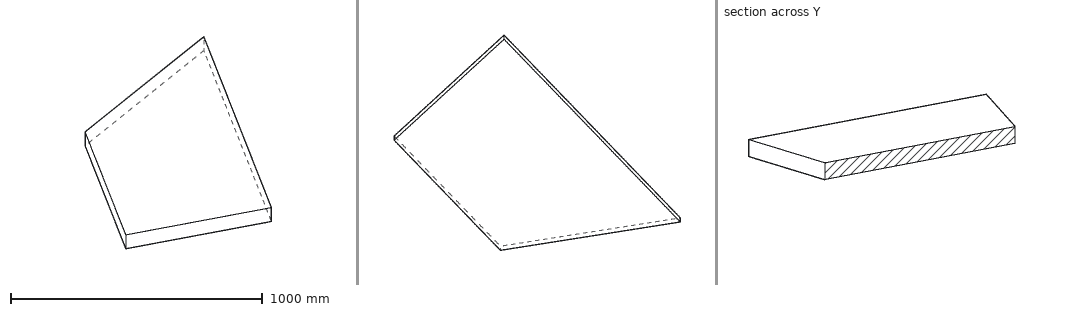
import cadquery as cq

long_edge = 1022.0
short_edge = 616.0
depth = 600.0
thickness = 77.0

slant_run = long_edge - short_edge

outline = [
    (slant_run, 0),
    (long_edge, 0),
    (long_edge, depth),
    (0, depth),
]

result = cq.Workplane("XY").polyline(outline).close().extrude(thickness)